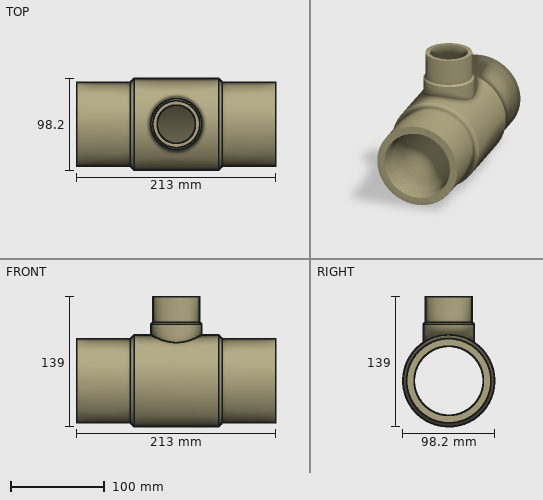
import cadquery as cq

pipe_length = 213.0
pipe_diameter = 90.0
pipe_bore = 73.7

body_length = 98.5
body_diameter = 98.2
body_bevel = (body_diameter - pipe_diameter) / 2

overall_height = 139.0
branch_top = overall_height - body_diameter / 2
branch_diameter = 50.0
branch_bore = 41.0

collar_diameter = 54.5
collar_edge_height = 60.7
collar_taper_height = 1.7
collar_top = collar_edge_height + collar_taper_height


def cylinder_along_x(diameter, length):
    """Cylinder centred on the origin."""
    start = cq.Workplane("YZ").workplane(offset=-length / 2)
    return start.circle(diameter / 2).extrude(length)


def make_run():
    pipe = cylinder_along_x(pipe_diameter, pipe_length)
    body = cylinder_along_x(body_diameter, body_length).edges("%CIRCLE").chamfer(body_bevel)
    return pipe.union(body)


def make_branch():
    """Solid of revolution about Z: collar, taper and branch pipe."""
    return (
        cq.Workplane("XZ")
        .lineTo(collar_diameter / 2, 0)
        .lineTo(collar_diameter / 2, collar_edge_height)
        .lineTo(branch_diameter / 2, collar_top)
        .lineTo(branch_diameter / 2, branch_top)
        .lineTo(0, branch_top)
        .close()
        .revolve(360, (0, 0), (0, 1))
    )


run_bore = cylinder_along_x(pipe_bore, pipe_length)
outlet_bore = cq.Workplane("XY").circle(branch_bore / 2).extrude(branch_top)

result = make_run().union(make_branch()).cut(run_bore).cut(outlet_bore)